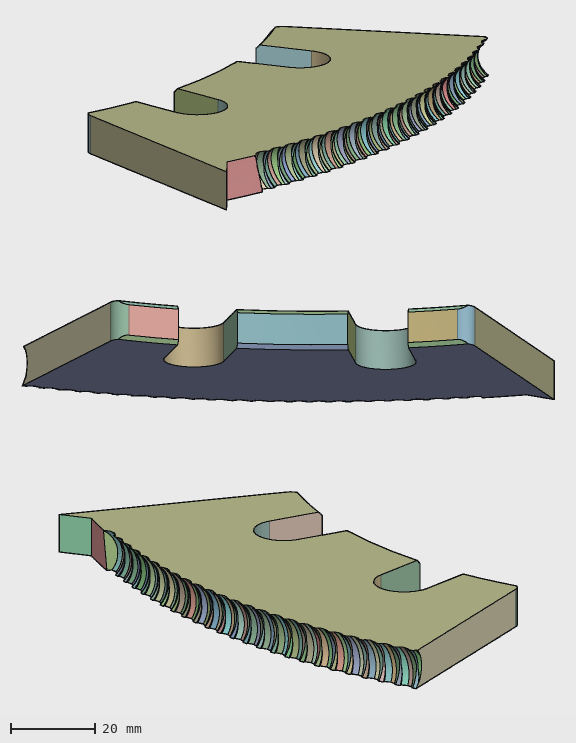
import cadquery as cq
import math

thickness = 9.5
sector_angle = 45.0
lower_edge_offset = 0.5
upper_edge_offset = 0.5
inner_radius = 109.7
outer_radius = 162.6
corner_radius = 3.3
inner_chamfer = 1.0

hook_tip_x = 169.1
hook_root_y = 5.1

slot_radius = 7.2
slot_center_radius = 123.6
slot_angles = (12, 33.2)

wheel_teeth = 218
tooth_pitch = 360 / wheel_teeth
tooth_rim_radius = 161.8
throat_radius = 5.9
tooth_depth = 0.6
gap_width = 4.2
gap_root_width = 1.1
lead_angle = 13.6
first_gap_angle = 6
half_thickness = thickness / 2
worm_axis_radius = tooth_rim_radius + math.sqrt(throat_radius**2 - half_thickness**2)


def polar(radius, angle):
    return (radius * math.cos(math.radians(angle)), radius * math.sin(math.radians(angle)))


def lower_edge_angle(radius):
    return math.degrees(math.asin(lower_edge_offset / radius))


def upper_edge_angle(radius):
    return sector_angle + math.degrees(math.asin(upper_edge_offset / radius))


def make_plate():
    lower_inner = polar(inner_radius, lower_edge_angle(inner_radius))
    upper_inner = polar(inner_radius, upper_edge_angle(inner_radius))
    upper_outer = polar(outer_radius, upper_edge_angle(outer_radius))
    hook_root_angle = math.degrees(math.asin(hook_root_y / outer_radius))
    middle_angle = sector_angle / 2
    plate = (
        cq.Workplane("XY", origin=(0, 0, -half_thickness))
        .moveTo(*lower_inner)
        .lineTo(hook_tip_x, lower_edge_offset)
        .lineTo(*polar(outer_radius, hook_root_angle))
        .threePointArc(polar(outer_radius, middle_angle), upper_outer)
        .lineTo(*upper_inner)
        .threePointArc(polar(inner_radius, middle_angle), lower_inner)
        .close()
        .extrude(thickness)
    )
    for corner_point in (lower_inner, upper_inner):
        corner = cq.selectors.NearestToPointSelector((*corner_point, 0))
        plate = plate.edges(corner).fillet(corner_radius)
    return plate


def make_chamfer_cutter(side):
    """Ring that bevels the inner edge on one face (side is +1 or -1)."""
    face_z = side * half_thickness
    return (
        cq.Workplane("XZ")
        .polyline([
            (inner_radius - inner_chamfer, face_z + side * inner_chamfer),
            (inner_radius + 2 * inner_chamfer, face_z + side * inner_chamfer),
            (inner_radius - inner_chamfer, face_z - side * 2 * inner_chamfer),
        ])
        .close()
        .revolve(360, (0, 0, 0), (0, 1, 0))
    )


def make_slot(angle):
    round_end = cq.Workplane("XY").center(slot_center_radius, 0).circle(slot_radius).extrude(thickness)
    channel = cq.Workplane("XY").rect(slot_center_radius, 2 * slot_radius).extrude(thickness)
    channel = channel.translate((slot_center_radius / 2, 0, 0))
    slot = round_end.union(channel).translate((0, 0, -half_thickness))
    return slot.rotate((0, 0, 0), (0, 0, 1), angle)


def make_throat():
    """Concave throat running from the first tooth gap past the end of the segment."""
    return (
        cq.Workplane("XZ")
        .center(worm_axis_radius, 0)
        .circle(throat_radius)
        .revolve(sector_angle, (-worm_axis_radius, 0, 0), (-worm_axis_radius, 1, 0))
        .rotate((0, 0, 0), (0, 0, 1), first_gap_angle)
    )


def make_gap_disc():
    """Bevelled disc, tilted by the lead angle, that cuts one tooth gap."""
    gap_root_radius = throat_radius + tooth_depth
    return (
        cq.Workplane("XY")
        .polyline([
            (0, -gap_width / 2),
            (throat_radius, -gap_width / 2),
            (gap_root_radius, -gap_root_width / 2),
            (gap_root_radius, gap_root_width / 2),
            (throat_radius, gap_width / 2),
            (0, gap_width / 2),
        ])
        .close()
        .revolve(360, (0, 0, 0), (0, 1, 0))
        .rotate((0, 0, 0), (1, 0, 0), lead_angle)
        .translate((worm_axis_radius, 0, 0))
    )


segment = make_plate()
for side in (1, -1):
    segment = segment.cut(make_chamfer_cutter(side))
for angle in slot_angles:
    segment = segment.cut(make_slot(angle))

segment = segment.cut(make_throat())
gap_disc = make_gap_disc()
gap_count = math.ceil((sector_angle - first_gap_angle) / tooth_pitch) + 1
for index in range(gap_count):
    gap_angle = first_gap_angle + index * tooth_pitch
    segment = segment.cut(gap_disc.rotate((0, 0, 0), (0, 0, 1), gap_angle))

result = segment